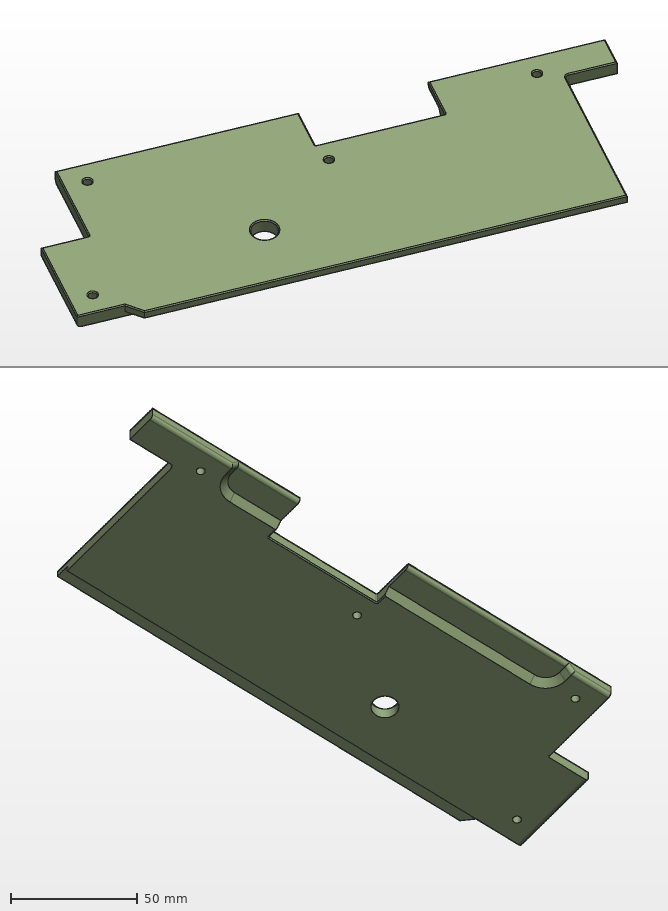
import cadquery as cq

length_x = 89.0
length_y = 251.0
thickness = 6.0

strip_width = 14.5
shoulder_y = 229.0
shoulder_radius = 1.8
notch_depth = 20.0
notch_low_y = 122.2
notch_high_y = 176.7
front_edge_y = 20.0
tab_left_x = 40.2
tab_right_x = 82.8
corner_y = 26.0
inner_corner_radius = 0.5

lip_thickness = 3.5

flange_thickness = 3.0
relief_low_y = 39.0
relief_high_y = 210.0
relief_width = 15.3
relief_corner_radius = 10.0
relief_wall_angle = 45

small_chamfer = 0.5
bottom_edge_radius = 1.8

screw_diameter = 3.5
screw_centers = [(10.0, 218.9), (29.9, 124.5), (10.0, 30.0), (73.0, 10.0)]
access_diameter = 11.0
access_center = (60.0, 86.8)

tolerance = 0.03


def make_plate():
    plate = (
        cq.Workplane("XY")
        .polyline([
            (tab_left_x, 0),
            (tab_right_x, 0),
            (tab_right_x, front_edge_y),
            (length_x, corner_y),
            (length_x, shoulder_y),
            (strip_width, shoulder_y),
            (strip_width, length_y),
            (0, length_y),
            (0, notch_high_y),
            (notch_depth, notch_high_y),
            (notch_depth, notch_low_y),
            (0, notch_low_y),
            (0, front_edge_y),
            (tab_left_x, front_edge_y),
        ])
        .close()
        .extrude(thickness)
    )
    inner_corners = [
        (strip_width, shoulder_y, shoulder_radius),
        (notch_depth, notch_high_y, inner_corner_radius),
        (notch_depth, notch_low_y, inner_corner_radius),
        (tab_left_x, front_edge_y, inner_corner_radius),
    ]
    for x, y, radius in inner_corners:
        corner = cq.selectors.NearestToPointSelector((x, y, thickness / 2))
        plate = plate.edges("|Z").edges(corner).fillet(radius)
    return plate


def make_holes():
    screws = (
        cq.Workplane("XY")
        .pushPoints(screw_centers)
        .circle(screw_diameter / 2)
        .extrude(thickness)
    )
    access = (
        cq.Workplane("XY")
        .center(*access_center)
        .circle(access_diameter / 2)
        .extrude(thickness)
    )
    return screws.union(access)


def make_lip_cut():
    """Space below the lip, to the right of the tab."""
    return (
        cq.Workplane("XY")
        .box(length_x - tab_right_x, length_y, thickness - lip_thickness, centered=False)
        .translate((tab_right_x, 0, 0))
    )


def make_relief():
    """Underside relief with sloping walls and rounded corners, open to the left."""
    length = relief_high_y - relief_low_y
    base = (
        cq.Sketch()
        .rect(2 * relief_width, length)
        .vertices()
        .fillet(relief_corner_radius)
    )
    return (
        cq.Workplane("XY")
        .center(0, (relief_low_y + relief_high_y) / 2)
        .placeSketch(base)
        .extrude(thickness - flange_thickness, taper=relief_wall_angle)
    )


def chamfer_notch_bottom(body):
    """Break the lower edge of the notch's back wall."""
    middle = (notch_depth, (notch_low_y + notch_high_y) / 2, 0)
    edge = cq.selectors.NearestToPointSelector(middle)
    return body.edges("|Y").edges(edge).chamfer(small_chamfer)


def round_lower_edges(body):
    """Round the lower edges of the left side, including the flange, and of the tab's front."""
    left_side = cq.selectors.BoxSelector(
        (-tolerance, 0, -tolerance),
        (tolerance, length_y, thickness - flange_thickness + tolerance),
    )
    tab_front = cq.selectors.BoxSelector(
        (tab_left_x + tolerance, -tolerance, -tolerance),
        (tab_right_x - tolerance, tolerance, tolerance),
    )
    vertical = cq.selectors.ParallelDirSelector(cq.Vector(0, 0, 1))
    return body.edges((left_side + tab_front) - vertical).fillet(bottom_edge_radius)


plate = make_plate().cut(make_holes())
plate = plate.faces(">Z").edges().chamfer(small_chamfer)
plate = plate.cut(make_lip_cut()).cut(make_relief())
result = round_lower_edges(chamfer_notch_bottom(plate))